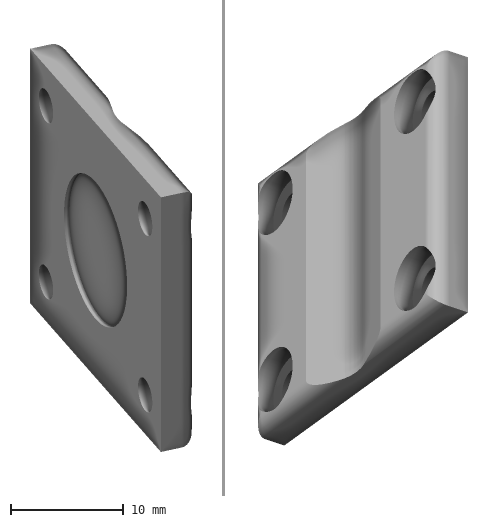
import cadquery as cq
import math

width = 29.0
height = 26.0
thickness = 3.5
rim_radius = 1.5

hole_diameter = 3.2
hole_pitch_x = 22.0
hole_pitch_z = 18.0
counterbore_diameter = 6.0
counterbore_depth = 2.0

recess_diameter = 14.0
recess_depth = 0.5

groove_half_width = 5.9
groove_slope = math.radians(15)
groove_bottom_radius = 5.8


def cylinder_along_y(x, z, diameter, y_start, y_end):
    """Solid cylinder parallel to Y between two Y positions."""
    start = cq.Vector(x, y_start, z)
    direction = cq.Vector(0, 1, 0)
    return cq.Solid.makeCylinder(diameter / 2, y_end - y_start, start, direction)


def make_plate():
    block = cq.Workplane("XY").box(width, thickness, height, centered=(True, False, True))
    return block.faces(">Y").edges().fillet(rim_radius)


def make_groove():
    """The bottom arc is tangent to both sloping sides."""
    vertex_y = thickness - groove_half_width * math.tan(groove_slope)
    arc_center_y = vertex_y + groove_bottom_radius / math.cos(groove_slope)
    tangent_x = groove_bottom_radius * math.sin(groove_slope)
    tangent_y = arc_center_y - groove_bottom_radius * math.cos(groove_slope)
    bottom_y = arc_center_y - groove_bottom_radius
    return (
        cq.Workplane("XY")
        .moveTo(-groove_half_width, thickness)
        .lineTo(-tangent_x, tangent_y)
        .threePointArc((0, bottom_y), (tangent_x, tangent_y))
        .lineTo(groove_half_width, thickness)
        .close()
        .extrude(height / 2, both=True)
    )


result = make_plate().cut(make_groove())
result = result.cut(cylinder_along_y(0, 0, recess_diameter, 0, recess_depth))

for side_x in (-1, 1):
    for side_z in (-1, 1):
        x = side_x * hole_pitch_x / 2
        z = side_z * hole_pitch_z / 2
        counterbore_floor = thickness - counterbore_depth
        result = result.cut(cylinder_along_y(x, z, hole_diameter, 0, thickness))
        result = result.cut(cylinder_along_y(x, z, counterbore_diameter, counterbore_floor, thickness))